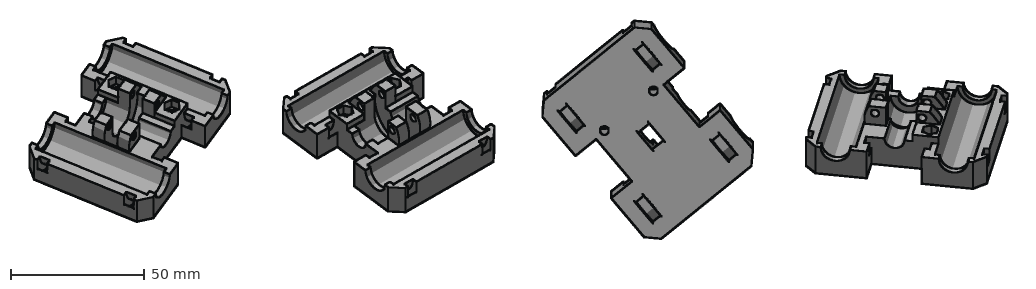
import cadquery as cq
import math

length_x = 53.0
length_y = 69.0
base_height = 12.0
total_height = 20.1

rail_width = 2 * base_height
rail_y = (length_y - rail_width) / 2
corner_chamfer = 4.55
rod_radius = 5.5
bearing_radius = 7.45
bearing_length = 47.75

tie_inner_radius = 10.0
tie_outer_radius = 13.0
tie_width = 4.15

web_half_width = 16.4
shaft_y = -1.7
shaft_radius = 3.8
shaft_bearing_radius = 6.75
shaft_bearing_start = -12.8
gear_radius = 12.7
gear_width = 5.5

step_height = 2.9
step_front_y = 5.1
nut_x = 11.95
nut_y = 11.1
nut_across_flats = 5.5
nut_depth = 4.15
screw_diameter = 3.25

lug_width = 5.05
lug_pin_diameter = 3.05
lug_pin_offset = 9.0
lug_pin_height = 5.2

rear_lug_front_y = shaft_y + shaft_bearing_radius
rear_lug_top_y = 10.2
rear_lug_middle = (12.35, 17.45)
rear_lug_foot_y = 14.0

front_lug_inner_y = -6.55
front_lug_top_y = -13.1
front_lug_widest = (-14.8, 14.2)
front_lug_foot_y = -14.5

step_top = base_height + step_height
gear_half = gear_width / 2
lug_outer_x = gear_half + lug_width


def box(x_min, x_max, y_min, y_max, z_min, z_max):
    return (
        cq.Workplane("XY", origin=(0, 0, z_min))
        .moveTo(x_min, y_min)
        .lineTo(x_max, y_min)
        .lineTo(x_max, y_max)
        .lineTo(x_min, y_max)
        .close()
        .extrude(z_max - z_min)
    )


def cylinder_x(radius, x_min, x_max, y, z=base_height):
    """Cylinder along X."""
    return cq.Workplane("YZ", origin=(x_min, y, z)).circle(radius).extrude(x_max - x_min)


def make_base():
    """Two chamfered rails joined by a narrower web."""
    half_x = length_x / 2
    half_y = length_y / 2
    plate = box(-half_x, half_x, -half_y, half_y, 0, base_height)
    plate = plate.edges("|Z").chamfer(corner_chamfer)
    rail_inner_y = half_y - rail_width
    for x_min, x_max in ((-half_x, -web_half_width), (web_half_width, half_x)):
        plate = plate.cut(box(x_min, x_max, -rail_inner_y, rail_inner_y, 0, base_height))
    return plate


def rail_cuts(y):
    """Rod groove, bearing pocket and two cable-tie channels of one rail."""
    cuts = cylinder_x(rod_radius, -length_x / 2, length_x / 2, y)
    cuts = cuts.union(cylinder_x(bearing_radius, -bearing_length / 2, bearing_length / 2, y))
    for x_min in (-web_half_width - tie_width, web_half_width):
        x_max = x_min + tie_width
        outer = cylinder_x(tie_outer_radius, x_min, x_max, y)
        inner = cylinder_x(tie_inner_radius, x_min, x_max, y)
        cuts = cuts.union(outer.cut(inner))
    return cuts


def make_step():
    """Raised block between the shaft and the rear bearing pocket."""
    rear_y = rail_y - bearing_radius
    return box(-web_half_width, web_half_width, step_front_y, rear_y, base_height, step_top)


def rear_lug(x_min):
    return (
        cq.Workplane("YZ", origin=(x_min, 0, 0))
        .moveTo(rear_lug_front_y, base_height)
        .lineTo(rear_lug_front_y, total_height)
        .lineTo(rear_lug_top_y, total_height)
        .threePointArc(rear_lug_middle, (rear_lug_foot_y, step_top))
        .lineTo(rear_lug_foot_y, base_height)
        .close()
        .extrude(lug_width)
    )


def front_lug(x_min):
    return (
        cq.Workplane("YZ", origin=(x_min, 0, 0))
        .moveTo(front_lug_inner_y, base_height)
        .lineTo(front_lug_inner_y, total_height)
        .lineTo(front_lug_top_y, total_height)
        .threePointArc(front_lug_widest, (front_lug_foot_y, base_height))
        .close()
        .extrude(lug_width)
    )


def shaft_cuts():
    """Shaft groove, shaft bearing seat open at the top, and gear slot."""
    groove = cylinder_x(shaft_radius, -web_half_width, web_half_width, shaft_y)
    seat = cylinder_x(shaft_bearing_radius, shaft_bearing_start, -gear_half, shaft_y)
    seat_opening = box(
        shaft_bearing_start,
        -gear_half,
        shaft_y - shaft_bearing_radius,
        shaft_y + shaft_bearing_radius,
        base_height,
        total_height,
    )
    gear_slot = cylinder_x(gear_radius, -gear_half, gear_half, shaft_y)
    return groove.union(seat).union(seat_opening).union(gear_slot)


def nut_trap(x):
    """Hexagonal pocket over a screw hole through the full height."""
    hex_diameter = nut_across_flats / math.cos(math.pi / 6)
    pocket = (
        cq.Workplane("XY", origin=(x, nut_y, step_top - nut_depth))
        .polygon(6, hex_diameter)
        .extrude(nut_depth)
    )
    hole = cq.Workplane("XY", origin=(x, nut_y, 0)).circle(screw_diameter / 2).extrude(step_top)
    return pocket.union(hole)


result = make_base()
for y in (-rail_y, rail_y):
    result = result.cut(rail_cuts(y))

result = result.union(make_step())
for lug_x in (-lug_outer_x, gear_half):
    result = result.union(rear_lug(lug_x)).union(front_lug(lug_x))

result = result.cut(shaft_cuts())

for x in (-nut_x, nut_x):
    result = result.cut(nut_trap(x))

pin_z = base_height + lug_pin_height
for y in (shaft_y - lug_pin_offset, shaft_y + lug_pin_offset):
    result = result.cut(cylinder_x(lug_pin_diameter / 2, -lug_outer_x, lug_outer_x, y, pin_z))